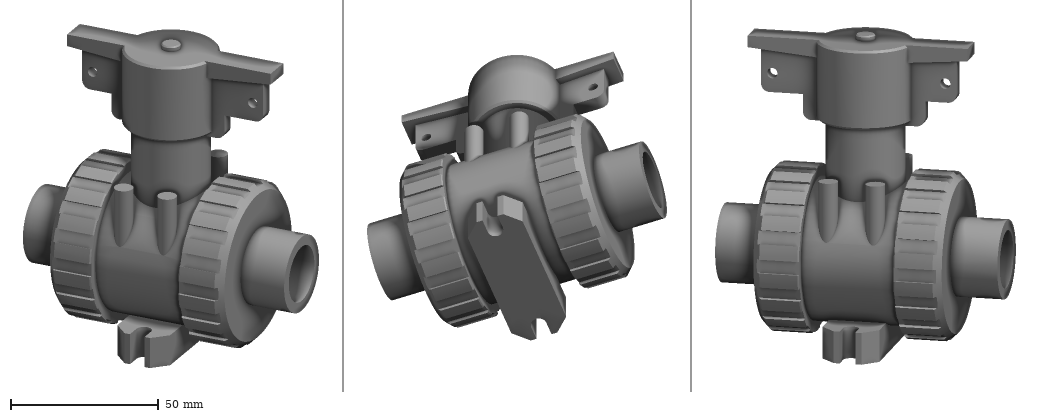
import cadquery as cq
import math

pipe_length = 98.5
pipe_diameter = 27.3
bore_diameter = 20.0
body_diameter = 49.5

nut_inner_x = 16.5
nut_outer_x = 32.9
nut_diameter = 58.0
nut_radius = nut_diameter / 2
nut_face_chamfer = 2.6
nut_back_chamfer = 0.4
groove_count = 18
groove_depth = 1.1
groove_width = 4.8

body_length = nut_inner_x + nut_outer_x

overall_height = 109.2
base_z = -33.0
top_z = base_z + overall_height
pin_diameter = 6.7
pin_height = 1.9
pin_chamfer = 0.4
hub_top_z = top_z - pin_height
hub_bottom_z = 46.6
hub_diameter = 33.2
hub_chamfer = 0.8
neck_diameter = 27.3

bar_left_x = -36.8
bar_right_x = 40.0
bar_width = 9.9
bar_root_x = 16.1
bar_root_z = 68.3
bar_rise_angle = 5.0

web_thickness = 4.8
web_left_x = -32.3
web_right_x = 35.9
web_arm_z = 54.4
web_step_x = 21.3
web_bottom_z = 45.4
web_fillet = 3.0
web_hole_diameter = 3.6
web_hole_z = 61.1
web_hole_inset = 3.9

post_diameter = 6.7
post_x = 8.2
post_y = 20.0
post_top_z = nut_radius

foot_length = 52.8
foot_width = 19.9
foot_top_z = -21.8
foot_chamfer = 5.1
slot_width = 5.5
slot_center_y = foot_length / 2 - foot_chamfer


def cylinder_x(diameter, length):
    """Cylinder along X, centred on the origin."""
    return cq.Workplane("YZ").circle(diameter / 2).extrude(length / 2, both=True)


def cylinder_z(diameter, lower_z, upper_z):
    """Cylinder along Z between two heights, centred on the stem axis."""
    return cq.Workplane("XY").workplane(offset=lower_z).circle(diameter / 2).extrude(upper_z - lower_z)


def make_nut():
    """Right-hand nut: a turned ring with evenly spaced straight grooves around its rim."""
    face_radius = nut_radius - nut_face_chamfer
    nut = (
        cq.Workplane("XY")
        .moveTo(nut_inner_x, 0)
        .lineTo(nut_inner_x, nut_radius - nut_back_chamfer)
        .lineTo(nut_inner_x + nut_back_chamfer, nut_radius)
        .lineTo(nut_outer_x - nut_face_chamfer, nut_radius)
        .lineTo(nut_outer_x, face_radius)
        .lineTo(nut_outer_x, 0)
        .close()
        .revolve(360, (0, 0, 0), (1, 0, 0))
    )
    groove = cq.Workplane("XY").box(
        nut_outer_x - nut_inner_x,
        groove_width,
        2 * groove_depth,
        centered=(False, True, False),
    )
    groove = groove.translate((nut_inner_x, 0, nut_radius - groove_depth))
    pitch = 360 / groove_count
    for index in range(groove_count):
        nut = nut.cut(groove.rotate((0, 0, 0), (1, 0, 0), (index + 0.5) * pitch))
    return nut


def make_posts():
    """Four posts standing on the body around the neck."""
    return (
        cq.Workplane("XY")
        .rect(2 * post_x, 2 * post_y, forConstruction=True)
        .vertices()
        .circle(post_diameter / 2)
        .extrude(post_top_z)
    )


def make_foot():
    """Plate below the body with bevelled corners and two open slots."""
    foot = (
        cq.Workplane("XY")
        .workplane(offset=base_z)
        .rect(foot_width, foot_length)
        .extrude(foot_top_z - base_z)
        .edges("|Z")
        .chamfer(foot_chamfer)
    )
    slot_run = 2 * foot_chamfer
    for side in (-1, 1):
        slot_y = side * (slot_center_y + slot_run / 2)
        slot = (
            cq.Workplane("XY")
            .workplane(offset=base_z)
            .center(0, slot_y)
            .slot2D(slot_run + slot_width, slot_width, 90)
            .extrude(foot_top_z - base_z)
        )
        foot = foot.cut(slot)
    return foot


def make_web():
    """Stepped plate under the handle bar, with a hole near each end."""
    web = (
        cq.Workplane("XZ")
        .polyline(
            [
                (web_left_x, hub_top_z),
                (web_left_x, web_arm_z),
                (-web_step_x, web_arm_z),
                (-web_step_x, web_bottom_z),
                (web_step_x, web_bottom_z),
                (web_step_x, web_arm_z),
                (web_right_x, web_arm_z),
                (web_right_x, hub_top_z),
            ]
        )
        .close()
        .extrude(web_thickness / 2, both=True)
    )
    for x in (web_left_x, web_right_x):
        web = web.edges(cq.NearestToPointSelector((x, 0, web_arm_z))).fillet(web_fillet)
    for x in (-web_step_x, web_step_x):
        web = web.edges(cq.NearestToPointSelector((x, 0, web_bottom_z))).fillet(web_fillet)
    holes = (
        cq.Workplane("XZ")
        .pushPoints([(web_left_x + web_hole_inset, web_hole_z), (web_right_x - web_hole_inset, web_hole_z)])
        .circle(web_hole_diameter / 2)
        .extrude(web_thickness, both=True)
    )
    return web.cut(holes)


def make_bar():
    """Handle bar whose underside slopes up from the hub to both ends."""
    slope = math.tan(math.radians(bar_rise_angle))

    def underside_z(x):
        return bar_root_z + (abs(x) - bar_root_x) * slope

    return (
        cq.Workplane("XZ")
        .polyline(
            [
                (bar_left_x, hub_top_z),
                (bar_left_x, underside_z(bar_left_x)),
                (-bar_root_x, bar_root_z),
                (bar_root_x, bar_root_z),
                (bar_right_x, underside_z(bar_right_x)),
                (bar_right_x, hub_top_z),
            ]
        )
        .close()
        .extrude(bar_width / 2, both=True)
    )


def make_handle():
    """Hub with chamfered rims, indicator pin, bar and web."""
    hub = cylinder_z(hub_diameter, hub_bottom_z, hub_top_z).faces("<Z or >Z").edges().chamfer(hub_chamfer)
    pin = cylinder_z(pin_diameter, hub_bottom_z, top_z).faces(">Z").edges().chamfer(pin_chamfer)
    return hub.union(pin).union(make_bar()).union(make_web())


nut = make_nut()
valve = cylinder_x(pipe_diameter, pipe_length)
valve = valve.union(cylinder_x(body_diameter, body_length))
valve = valve.union(nut).union(nut.mirror("YZ"))
valve = valve.union(cylinder_z(neck_diameter, 0, hub_bottom_z))
valve = valve.union(make_posts()).union(make_foot()).union(make_handle())

result = valve.cut(cylinder_x(bore_diameter, pipe_length))